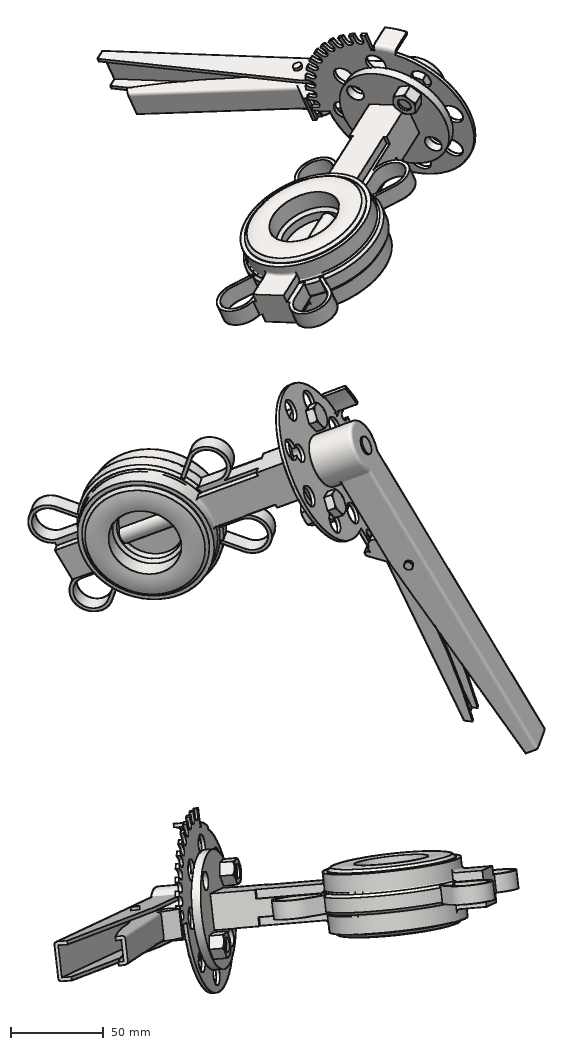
import cadquery as cq
import math

ASSEMBLY_TILT = 22.5

TOLERANCE = 0.0002

STEM_DIA = 10.0
STEM_BOTTOM = -46.8
STEM_TOP = 135.0
DISC_THICKNESS = 2.3

RING_RADIUS = 75.0 / 2
RING_HALF_WIDTH = 16.4
BAND_RADIUS = 40.2
BAND_HALF_WIDTH = 5.5
BAND_CHAMFER = 1.6
BAND_ROOT_FILLET = 1.0
SEAT_RADIUS = 65.0 / 2
SEAT_LIP_RADIUS = 70.0 / 2
SEAT_LIP_DEPTH = 1.5
SEAT_EDGE_HEIGHT = 0.5
SEAT_SHOULDER_RADIUS = 33.0
SEAT_SHOULDER_HEIGHT = 2.0
SEAT_CROWN_HEIGHT = 3.0
SEAT_MOUTH_HEIGHT = 2.3
BORE_RADIUS = 40.0 / 2
SEALING_RADIUS = 36.0 / 2
SEALING_HALF_WIDTH = 6.0
BORE_TAPER_END = 8.0

NECK_SIZE = 19.9
NECK_HEAD_WIDTH = 23.8
NECK_RIB_THICKNESS = 10.0
NECK_ROOT_FILLET = 1.6
NECK_STEP_Y = 74.3
BOSS_BOTTOM = -53.0
LOOP_RADIUS = 24.0 / 2
LOOP_THICKNESS = 2.0
LOOP_CENTER_X = 23.4
LOOP_CENTER_Y = 49.8
LOOP_WIDTH = 10.0

FLANGE_DIA = 65.0
FLANGE_BOTTOM = 99.5
FLANGE_THICKNESS = 5.1
FLANGE_TOP = FLANGE_BOTTOM + FLANGE_THICKNESS
BOLT_HOLE_COUNT = 4
BOLT_HOLE_DIA = 10.0
BOLT_CIRCLE_RADIUS = 25.0
PLATE_THICKNESS = 2.0
PLATE_TOP = FLANGE_TOP + PLATE_THICKNESS
PLATE_RADIUS = 45.0
PLATE_HOLE_COUNT = 8
PLATE_HOLE_DIA = 12.0
PLATE_HOLE_CIRCLE_RADIUS = 35.0
TOOTH_TIP_RADIUS = 55.5
TOOTH_COUNT = 12
TOOTH_FIRST_ANGLE = 90.0
TOOTH_LAST_ANGLE = 180.0
TOOTH_HALF_ANGLE = 1.5
NOTCH_WIDTH = 5.0
NOTCH_ROOT_RADIUS = 49.3
STOP_TAB_RADIUS = 48.0
STOP_TAB_BEND_RADIUS = 2.8
STOP_TAB_START_ANGLE = 70.0
STOP_TAB_END_ANGLE = 86.0
STOP_TAB_TOP = 120.2

THREAD_DIA = 8.0
HEX_ACROSS_FLATS = 13.0
HEX_ACROSS_CORNERS = HEX_ACROSS_FLATS / math.cos(math.radians(30))
BOLT_HEAD_HEIGHT = 5.1
NUT_HEIGHT = 8.0
HEX_BEVEL = 0.7
BOLT_END_RECESS = 1.5
BOLT_ANGLES = (45.0, 225.0)
BOLT_TURN = 0.0
NUT_TURN = 30.0

HUB_DIA = 30.0
HANDLE_TOP = 134.0
HANDLE_WIDTH = 21.7
HANDLE_WALL = 2.0
HANDLE_END_X = -200.0
HANDLE_END_BOTTOM = 126.5
HANDLE_BEND_X = -65.5
HANDLE_BOTTOM = 115.5
HANDLE_EDGE_RADIUS = 1.9
HUB_EDGE_RADIUS = 1.9
HUB_ROOT_FILLET = 1.5

PIVOT_X = -70.1
PIVOT_Y = 125.0
PIVOT_DIA = 5.0
PIVOT_LENGTH = 25.2
PIVOT_EAR_RADIUS = 4.2
TRIGGER_WIDTH = 16.0
TRIGGER_WALL = 2.0
TRIGGER_TIP_X = -170.0
TRIGGER_TIP_Y = 102.9
TRIGGER_BEND_X = -65.0
TRIGGER_BEND_Y = 112.5
TRIGGER_TOE_X = -58.0
TRIGGER_TOE_Y = 104.3
TRIGGER_EDGE_RADIUS = 1.9
TRIGGER_TOP_X = -172.5
TRIGGER_TOP_Y = 107.5
GRIP_MIDDLE = (-142.5, 113.9)
GRIP_END = (-107.5, 118.5)
CHEEK_CLEARANCE = 0.5
PAWL_X = -53.8
PAWL_Y = 111.8
PAWL_RADIUS = 3.5


def cylinder_along_y(diameter, bottom, top, x=0.0, z=0.0):
    """Solid cylinder with its axis parallel to the stem."""
    return cq.Workplane("XZ", origin=(x, bottom, z)).circle(diameter / 2).extrude(bottom - top)


def hexagon_along_y(bottom, top, turn, beveled_end):
    """Hexagonal prism about the Y axis, one corner turned from +X, its corners bevelled at one end."""
    prism = cq.Workplane("XZ", origin=(0, bottom, 0)).polygon(6, HEX_ACROSS_CORNERS).extrude(bottom - top)
    envelope = cylinder_along_y(HEX_ACROSS_CORNERS, bottom, top).faces(beveled_end).chamfer(HEX_BEVEL)
    return prism.rotate((0, 0, 0), (0, 1, 0), -turn).intersect(envelope)


def polar_point(radius, angle):
    """Point in the XZ plane at an angle measured from +X towards +Z."""
    return (radius * math.cos(math.radians(angle)), radius * math.sin(math.radians(angle)))


def ring_sector(inner_radius, outer_radius, start_angle, end_angle, bottom, top):
    """Sector of a ring around the stem."""
    middle = (start_angle + end_angle) / 2
    return (
        cq.Workplane("XZ", origin=(0, bottom, 0))
        .moveTo(*polar_point(inner_radius, start_angle))
        .lineTo(*polar_point(outer_radius, start_angle))
        .threePointArc(polar_point(outer_radius, middle), polar_point(outer_radius, end_angle))
        .lineTo(*polar_point(inner_radius, end_angle))
        .threePointArc(polar_point(inner_radius, middle), polar_point(inner_radius, start_angle))
        .close()
        .extrude(bottom - top)
    )


def block(width_x, bottom, top, width_z):
    """Rectangular block centred on the stem."""
    return (
        cq.Workplane("XY")
        .box(width_x, top - bottom, width_z)
        .translate((0, (bottom + top) / 2, 0))
    )


def bolt_positions():
    """X and Z of each bolt axis."""
    return [polar_point(BOLT_CIRCLE_RADIUS, angle) for angle in BOLT_ANGLES]


def flange_hole_cutters():
    """Clearance holes through the flange and the notched plate."""
    step = 360 / BOLT_HOLE_COUNT
    angles = [BOLT_ANGLES[0] + i * step for i in range(BOLT_HOLE_COUNT)]
    points = [polar_point(BOLT_CIRCLE_RADIUS, angle) for angle in angles]
    plane = cq.Workplane("XZ", origin=(0, FLANGE_BOTTOM, 0))
    return plane.pushPoints(points).circle(BOLT_HOLE_DIA / 2).extrude(FLANGE_BOTTOM - PLATE_TOP)


def stem_hole_cutter():
    """Close-fitting hole that every part around the stem is bored with."""
    return cylinder_along_y(STEM_DIA, STEM_BOTTOM, STEM_TOP)


def valve_disc():
    """Round closing disc on its long stem."""
    disc = cq.Workplane("XY").circle(SEALING_RADIUS).extrude(DISC_THICKNESS / 2, both=True)
    return disc.union(cylinder_along_y(STEM_DIA, STEM_BOTTOM, STEM_TOP))


def seat():
    """Rubber liner with a crowned lip on both ends and a narrower sealing land."""
    lip_start = RING_HALF_WIDTH - SEAT_LIP_DEPTH
    lip_edge = RING_HALF_WIDTH + SEAT_EDGE_HEIGHT
    crown = ((BORE_RADIUS + SEAT_LIP_RADIUS) / 2, RING_HALF_WIDTH + SEAT_CROWN_HEIGHT)
    shoulder = RING_HALF_WIDTH + SEAT_SHOULDER_HEIGHT
    mouth = RING_HALF_WIDTH + SEAT_MOUTH_HEIGHT
    half = (
        cq.Workplane("XZ")
        .moveTo(SEALING_RADIUS, 0)
        .lineTo(SEAT_RADIUS, 0)
        .lineTo(SEAT_RADIUS, lip_start)
        .lineTo(SEAT_LIP_RADIUS, lip_start)
        .lineTo(SEAT_LIP_RADIUS, lip_edge)
        .lineTo(SEAT_SHOULDER_RADIUS, shoulder)
        .threePointArc(crown, (BORE_RADIUS, mouth))
        .lineTo(BORE_RADIUS, BORE_TAPER_END)
        .lineTo(SEALING_RADIUS, SEALING_HALF_WIDTH)
        .close()
        .revolve(360, (0, 0, 0), (0, 1, 0))
    )
    return half.union(half.mirror("XY")).cut(stem_hole_cutter())


def valve_ring():
    """Outer ring with the raised middle band."""
    ring = cq.Workplane("XY").circle(RING_RADIUS).extrude(RING_HALF_WIDTH, both=True)
    band = (
        cq.Workplane("XY")
        .circle(BAND_RADIUS)
        .extrude(BAND_HALF_WIDTH, both=True)
        .edges()
        .chamfer(BAND_CHAMFER)
    )
    ring = ring.union(band)
    band_roots = [edge for edge in ring.edges().vals() if is_band_root(edge)]
    return ring.newObject(band_roots).fillet(BAND_ROOT_FILLET)


def seat_recess_cutter():
    """Bore that holds the seat, with a wider recess for the lip at each end."""
    recess_depth = RING_HALF_WIDTH - SEAT_LIP_DEPTH
    bore = cq.Workplane("XY").circle(SEAT_RADIUS).extrude(RING_HALF_WIDTH, both=True)
    lip = cq.Workplane("XY", origin=(0, 0, recess_depth)).circle(SEAT_LIP_RADIUS).extrude(SEAT_LIP_DEPTH)
    return bore.union(lip).union(lip.mirror("XY"))


def neck_bar():
    """Square bar from the bottom boss to the flange, with a rib on both sides and a wider head."""
    bar = block(NECK_SIZE, BOSS_BOTTOM, FLANGE_BOTTOM, NECK_SIZE)
    rib = block(NECK_HEAD_WIDTH, BOSS_BOTTOM, FLANGE_BOTTOM, NECK_RIB_THICKNESS)
    head = block(NECK_HEAD_WIDTH, NECK_STEP_Y, FLANGE_BOTTOM, NECK_SIZE)
    return bar.union(rib).union(head)


def is_band_root(edge):
    """True for the circles where the middle band rises from the ring."""
    return (
        edge.geomType() == "CIRCLE"
        and math.isclose(edge.radius(), RING_RADIUS, abs_tol=TOLERANCE)
        and math.isclose(abs(edge.Center().z), BAND_HALF_WIDTH, abs_tol=TOLERANCE)
    )


def is_neck_root(edge):
    """True for the arcs where the wide faces of the neck and boss run into the ring."""
    return (
        edge.geomType() == "CIRCLE"
        and math.isclose(edge.radius(), RING_RADIUS, abs_tol=TOLERANCE)
        and math.isclose(abs(edge.Center().z), NECK_SIZE / 2, abs_tol=TOLERANCE)
    )


def teardrop(radius):
    """Disc with one upright and one 45-degree tangent that meet towards the valve ring."""
    diagonal = radius * math.sqrt(0.5)
    left = LOOP_CENTER_X - radius
    tangent = (LOOP_CENTER_X + diagonal, LOOP_CENTER_Y - diagonal)
    tip_y = tangent[1] - (tangent[0] - left)
    return (
        cq.Workplane("XY")
        .moveTo(left, tip_y)
        .lineTo(*tangent)
        .threePointArc((LOOP_CENTER_X, LOOP_CENTER_Y + radius), (left, LOOP_CENTER_Y))
        .close()
        .extrude(LOOP_WIDTH / 2, both=True)
    )


def clamping_loops():
    """Four strip loops, one in each quarter around the ring."""
    upper_right = teardrop(LOOP_RADIUS).cut(teardrop(LOOP_RADIUS - LOOP_THICKNESS))
    upper = upper_right.union(upper_right.mirror("YZ"))
    return upper.union(upper.mirror("XZ"))


def housing():
    """Valve ring, neck, loops and flange in one piece."""
    shape = valve_ring().union(neck_bar())
    neck_roots = [edge for edge in shape.edges().vals() if is_neck_root(edge)]
    shape = shape.newObject(neck_roots).fillet(NECK_ROOT_FILLET)
    shape = shape.union(clamping_loops())
    shape = shape.union(cylinder_along_y(FLANGE_DIA, FLANGE_BOTTOM, FLANGE_TOP))
    shape = shape.cut(seat_recess_cutter()).cut(stem_hole_cutter())
    return shape.cut(flange_hole_cutters())


def notch_cutters():
    """Round-bottomed notches that leave the teeth standing."""
    pitch = (TOOTH_LAST_ANGLE - TOOTH_FIRST_ANGLE) / (TOOTH_COUNT - 1)
    length = 2 * (TOOTH_TIP_RADIUS - NOTCH_ROOT_RADIUS)
    notch = (
        cq.Workplane("XZ", origin=(TOOTH_TIP_RADIUS, FLANGE_TOP, 0))
        .slot2D(length, NOTCH_WIDTH)
        .extrude(-PLATE_THICKNESS)
    )
    cutters = []
    for i in range(TOOTH_COUNT - 1):
        angle = TOOTH_FIRST_ANGLE + (i + 0.5) * pitch
        cutters.append(notch.rotate((0, 0, 0), (0, 1, 0), -angle))
    return cutters


def stop_tab():
    """Upright strip bent up from a short foot on the rim of the plate."""
    angles = (STOP_TAB_START_ANGLE, STOP_TAB_END_ANGLE)
    upright_inside = STOP_TAB_RADIUS - PLATE_THICKNESS
    foot_inside = PLATE_RADIUS - PLATE_THICKNESS
    upright = ring_sector(upright_inside, STOP_TAB_RADIUS, *angles, FLANGE_TOP, STOP_TAB_TOP)
    foot = ring_sector(foot_inside, STOP_TAB_RADIUS, *angles, FLANGE_TOP, PLATE_TOP)
    x, z = polar_point(STOP_TAB_RADIUS, sum(angles) / 2)
    bend_edge = cq.NearestToPointSelector((x, FLANGE_TOP, z))
    return foot.union(upright).edges(bend_edge).fillet(STOP_TAB_BEND_RADIUS)


def notched_plate():
    """Index plate with teeth over a quarter turn, a ring of holes and an upright stop tab."""
    plate = cylinder_along_y(2 * PLATE_RADIUS, FLANGE_TOP, PLATE_TOP)
    start = TOOTH_FIRST_ANGLE - TOOTH_HALF_ANGLE
    end = TOOTH_LAST_ANGLE + TOOTH_HALF_ANGLE
    inner = PLATE_HOLE_CIRCLE_RADIUS
    plate = plate.union(ring_sector(inner, TOOTH_TIP_RADIUS, start, end, FLANGE_TOP, PLATE_TOP))
    for notch in notch_cutters():
        plate = plate.cut(notch)
    plate = plate.union(stop_tab())
    hole_step = 360 / PLATE_HOLE_COUNT
    for i in range(PLATE_HOLE_COUNT):
        x, z = polar_point(PLATE_HOLE_CIRCLE_RADIUS, i * hole_step)
        plate = plate.cut(cylinder_along_y(PLATE_HOLE_DIA, FLANGE_TOP, PLATE_TOP, x, z))
    return plate.cut(flange_hole_cutters()).cut(stem_hole_cutter())


def bolt():
    """Hexagon-head bolt on the Y axis, its head resting on the plate."""
    head_top = PLATE_TOP + BOLT_HEAD_HEIGHT
    head = hexagon_along_y(PLATE_TOP, head_top, BOLT_TURN - ASSEMBLY_TILT, ">Y")
    shank_end = FLANGE_BOTTOM - NUT_HEIGHT + BOLT_END_RECESS
    return head.union(cylinder_along_y(THREAD_DIA, shank_end, PLATE_TOP))


def nut():
    """Hexagon nut on the Y axis, pressed against the underside of the flange."""
    bottom = FLANGE_BOTTOM - NUT_HEIGHT
    body = hexagon_along_y(bottom, FLANGE_BOTTOM, NUT_TURN - ASSEMBLY_TILT, "<Y")
    return body.cut(cylinder_along_y(THREAD_DIA, bottom, FLANGE_BOTTOM))


def pivot_cylinder(diameter, length):
    """Cylinder across the handle on the trigger's pivot axis."""
    section = cq.Workplane("XY", origin=(PIVOT_X, PIVOT_Y, 0)).circle(diameter / 2)
    return section.extrude(length / 2, both=True)


def is_hub_root(edge):
    """True for the upright edges where the outer faces of the channel meet the hub."""
    center = edge.Center()
    return (
        math.isclose(abs(center.z), HANDLE_WIDTH / 2, abs_tol=TOLERANCE)
        and math.isclose(math.hypot(center.x, center.z), HUB_DIA / 2, abs_tol=TOLERANCE)
    )


def handle():
    """Tapering channel, open below, joined to a round hub on the stem."""
    channel = (
        cq.Workplane("XY")
        .polyline([
            (0, HANDLE_TOP),
            (HANDLE_END_X, HANDLE_TOP),
            (HANDLE_END_X, HANDLE_END_BOTTOM),
            (HANDLE_BEND_X, HANDLE_BOTTOM),
            (0, HANDLE_BOTTOM),
        ])
        .close()
        .extrude(HANDLE_WIDTH / 2, both=True)
        .faces(">Y").edges("|X").fillet(HANDLE_EDGE_RADIUS)
    )
    inside_width = HANDLE_WIDTH - 2 * HANDLE_WALL
    inside = block(-2 * HANDLE_END_X, HANDLE_BOTTOM, HANDLE_TOP - HANDLE_WALL, inside_width)
    hub = cylinder_along_y(HUB_DIA, PLATE_TOP, HANDLE_TOP).edges().fillet(HUB_EDGE_RADIUS)
    shape = channel.cut(inside).union(hub)
    wall_roots = [edge for edge in shape.edges("|Y").vals() if is_hub_root(edge)]
    shape = shape.newObject(wall_roots).fillet(HUB_ROOT_FILLET)
    return shape.cut(stem_hole_cutter()).cut(pivot_cylinder(PIVOT_DIA, PIVOT_LENGTH))


def trigger_profile():
    """Side outline: swept-up grip, pivot ear and the cheek that holds the pawl."""
    ear_left = PIVOT_X - PIVOT_EAR_RADIUS
    ear_right = PIVOT_X + PIVOT_EAR_RADIUS
    ear_top = (PIVOT_X, PIVOT_Y + PIVOT_EAR_RADIUS)
    cheek_bottom = PLATE_TOP + CHEEK_CLEARANCE
    toe_slope = (TRIGGER_TOE_X - TRIGGER_BEND_X) / (TRIGGER_TOE_Y - TRIGGER_BEND_Y)
    cheek_start = TRIGGER_BEND_X + toe_slope * (cheek_bottom - TRIGGER_BEND_Y)
    blank = (
        cq.Workplane("XY")
        .moveTo(TRIGGER_TIP_X, TRIGGER_TIP_Y)
        .lineTo(TRIGGER_TOP_X, TRIGGER_TOP_Y)
        .threePointArc(GRIP_MIDDLE, GRIP_END)
        .lineTo(ear_left, PIVOT_Y)
        .threePointArc(ear_top, (ear_right, PIVOT_Y))
        .lineTo(PAWL_X, PAWL_Y + PAWL_RADIUS)
        .lineTo(PAWL_X, cheek_bottom)
        .lineTo(cheek_start, cheek_bottom)
        .lineTo(TRIGGER_BEND_X, TRIGGER_BEND_Y)
        .close()
        .extrude(TRIGGER_WIDTH / 2, both=True)
    )
    grip_x = (TRIGGER_TIP_X + TRIGGER_BEND_X) / 2
    grip_y = (TRIGGER_TIP_Y + TRIGGER_BEND_Y) / 2
    for z in (-TRIGGER_WIDTH / 2, TRIGGER_WIDTH / 2):
        blank = blank.edges(cq.NearestToPointSelector((grip_x, grip_y, z))).fillet(TRIGGER_EDGE_RADIUS)
    return blank


def trigger_toe():
    """Steep strip that reaches from the grip face down past the teeth."""
    return (
        cq.Workplane("XY")
        .polyline([
            (TRIGGER_BEND_X, TRIGGER_BEND_Y),
            (TRIGGER_TOE_X, TRIGGER_TOE_Y),
            (TRIGGER_TOE_X + TRIGGER_WALL, TRIGGER_TOE_Y),
            (TRIGGER_TOE_X + TRIGGER_WALL, TRIGGER_TOE_Y + TRIGGER_WALL),
            (TRIGGER_BEND_X + TRIGGER_WALL, TRIGGER_BEND_Y + TRIGGER_WALL),
            (TRIGGER_BEND_X, TRIGGER_BEND_Y + TRIGGER_WALL),
        ])
        .close()
        .extrude(TRIGGER_WIDTH / 2, both=True)
    )


def trigger_cavity():
    """Space between the side walls, above the floor and behind the toe."""
    floor_slope = (TRIGGER_BEND_Y - TRIGGER_TIP_Y) / (TRIGGER_BEND_X - TRIGGER_TIP_X)
    rear_y = TRIGGER_TIP_Y + TRIGGER_WALL + floor_slope * (TRIGGER_TOP_X - TRIGGER_TIP_X)
    return (
        cq.Workplane("XY")
        .polyline([
            (TRIGGER_TOP_X, rear_y),
            (TRIGGER_BEND_X + TRIGGER_WALL / 2, TRIGGER_BEND_Y + TRIGGER_WALL),
            (TRIGGER_TOE_X + TRIGGER_WALL, TRIGGER_TOE_Y + TRIGGER_WALL),
            (PAWL_X, TRIGGER_TOE_Y + TRIGGER_WALL),
            (PAWL_X, HANDLE_TOP),
            (TRIGGER_TOP_X, HANDLE_TOP),
        ])
        .close()
        .extrude(TRIGGER_WIDTH / 2 - TRIGGER_WALL, both=True)
    )


def trigger():
    """Squeeze trigger: folded strip with side walls, pivot and round pawl bar."""
    pawl = cq.Workplane("XY", origin=(PAWL_X, PAWL_Y, 0)).circle(PAWL_RADIUS)
    shape = trigger_profile().union(trigger_toe()).cut(trigger_cavity())
    shape = shape.union(pawl.extrude(TRIGGER_WIDTH / 2, both=True))
    return shape.union(pivot_cylinder(PIVOT_DIA, PIVOT_LENGTH))


bolts = []
nuts = []
for bolt_x, bolt_z in bolt_positions():
    bolts.append(bolt().translate((bolt_x, 0, bolt_z)))
    nuts.append(nut().translate((bolt_x, 0, bolt_z)))

bodies = [housing(), seat(), valve_disc(), notched_plate(), handle(), trigger(), *bolts, *nuts]
tilted_bodies = [body.rotate((0, 0, 0), (0, 1, 0), -ASSEMBLY_TILT) for body in bodies]
result = cq.Compound.makeCompound([body.solids().val() for body in tilted_bodies])